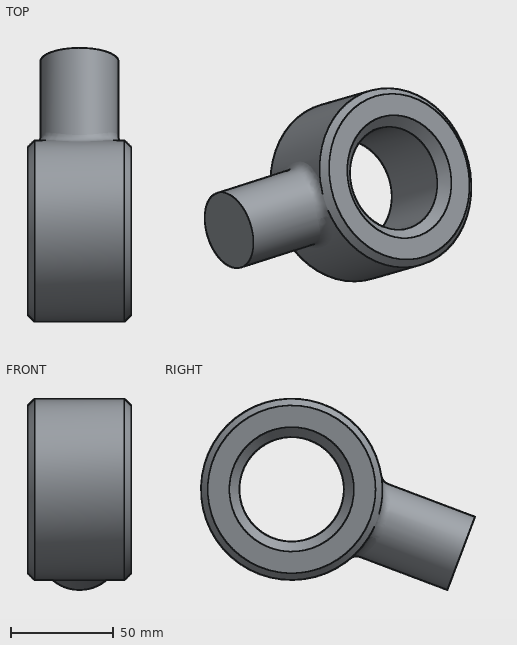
import cadquery as cq
import math

ring_width = 50.8
ring_diameter = 88.9
ring_chamfer = 3.4
bore_diameter = 51.0
bore_chamfer = 5.0

stem_diameter = 38.4
stem_length = 88.7
stem_tilt = 20.7
blend_radius = 5.0


def make_ring():
    """Solid disc with both outer rims chamfered."""
    disc = cq.Workplane("YZ").circle(ring_diameter / 2).extrude(ring_width / 2, both=True)
    return disc.edges("%CIRCLE").chamfer(ring_chamfer)


def make_stem():
    """Cylinder running from the ring axis to the free end."""
    tilt = math.radians(stem_tilt)
    direction = (0, math.cos(tilt), -math.sin(tilt))
    stem_plane = cq.Plane(origin=(0, 0, 0), xDir=(1, 0, 0), normal=direction)
    return cq.Workplane(stem_plane).circle(stem_diameter / 2).extrude(stem_length)


def blend_stem(body):
    """Fillet the curve where the stem meets the outside of the ring."""
    half_width = ring_width / 2
    joint_reach = ring_diameter / 2 + blend_radius
    joint_zone = cq.selectors.BoxSelector(
        (-half_width, -joint_reach, -joint_reach),
        (half_width, joint_reach, joint_reach),
        boundingbox=True,
    )
    return body.edges(joint_zone).edges("not(%CIRCLE or %LINE)").fillet(blend_radius)


def cut_bore(body):
    """Through bore with both mouths chamfered."""
    bore_radius = bore_diameter / 2
    bored = body.cut(cq.Workplane("YZ").circle(bore_radius).extrude(ring_width / 2, both=True))
    return bored.faces("<X or >X").edges(cq.selectors.RadiusNthSelector(0)).chamfer(bore_chamfer)


result = cut_bore(blend_stem(make_ring().union(make_stem())))